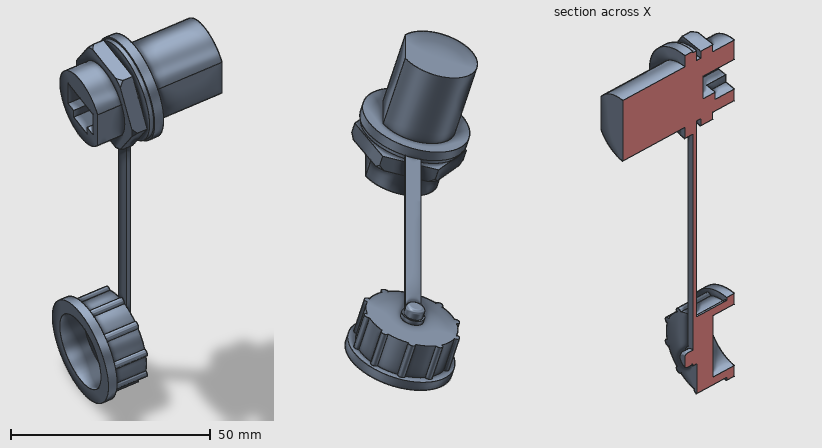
import cadquery as cq


barrel_length = 36.07
barrel_radius = 10.25
barrel_flat_x = 8.6

jack_width = 12.4
jack_bottom_z = -3.8
jack_top_z = 3.6
jack_depth = 10.0
latch_width = 6.7
latch_drop = 2.4
latch_depth = 6.2

nut_front_y = 6.9
nut_thickness = 4.0
nut_across_corners = 29.08
nut_chamfer_radial = 0.7
nut_chamfer_axial = 1.2

cap_spacing = 88.79
cap_rim_radius = 14.0
cap_rim_thickness = 2.5
cap_body_radius = 12.0
cap_length = 12.2
cap_recess_radius = barrel_radius
cap_recess_depth = 6.8
rib_count = 10
rib_radius = 1.0

strap_thickness = 1.2
strap_width = 4.0
strap_ring_radius = 13.5
strap_eye_radius = 3.0
strap_front_y = cap_length
strap_back_y = strap_front_y + strap_thickness

flange_radius = 14.0
flange_thickness = 2.6
flange_back_y = strap_back_y + flange_thickness

button_radius = 2.5
button_edge_fillet = 1.0
button_length = 3.8
button_back_y = strap_front_y + button_length


def disc(radius, front_y, back_y, center_z=0):
    """Cylinder along Y between two Y positions."""
    plane = cq.Workplane("XZ", origin=(0, front_y, center_z))
    return plane.circle(radius).extrude(front_y - back_y)


def box_between(x_range, y_range, z_range):
    """Axis-aligned box given by its limits."""
    size = [high - low for low, high in (x_range, y_range, z_range)]
    corner = (x_range[0], y_range[0], z_range[0])
    return cq.Workplane("XY").box(*size, centered=False).translate(corner)


def make_flat_clearance(front_y, back_y):
    """Segment of the barrel circle lying beyond the flat."""
    beyond_flat = box_between(
        (barrel_flat_x, barrel_radius),
        (front_y, back_y),
        (-barrel_radius, barrel_radius),
    )
    return disc(barrel_radius, front_y, back_y).intersect(beyond_flat)


def make_barrel():
    return disc(barrel_radius, 0, barrel_length).cut(make_flat_clearance(0, barrel_length))


def make_jack_opening():
    opening = box_between(
        (-jack_width / 2, jack_width / 2),
        (0, jack_depth),
        (jack_bottom_z, jack_top_z),
    )
    latch_notch = box_between(
        (-latch_width / 2, latch_width / 2),
        (0, latch_depth),
        (jack_bottom_z - latch_drop, jack_bottom_z),
    )
    return opening.union(latch_notch)


def make_nut():
    corner_radius = nut_across_corners / 2
    nut_back_y = nut_front_y + nut_thickness
    plane = cq.Workplane("XZ", origin=(0, nut_front_y, 0))
    hexagon = plane.polygon(6, nut_across_corners).extrude(-nut_thickness)
    envelope = (
        cq.Workplane("XY")
        .moveTo(0, nut_front_y)
        .lineTo(corner_radius - nut_chamfer_radial, nut_front_y)
        .lineTo(corner_radius, nut_front_y + nut_chamfer_axial)
        .lineTo(corner_radius, nut_back_y)
        .lineTo(0, nut_back_y)
        .close()
        .revolve(360, (0, 0, 0), (0, 1, 0))
    )
    return hexagon.intersect(envelope)


def make_cap():
    cap = disc(cap_rim_radius, 0, cap_rim_thickness, -cap_spacing)
    cap = cap.union(disc(cap_body_radius, 0, cap_length, -cap_spacing))
    ribs = (
        cq.Workplane("XZ", origin=(0, 0, -cap_spacing))
        .polarArray(cap_body_radius, 90, 360, rib_count)
        .circle(rib_radius)
        .extrude(-cap_length)
    )
    recess = disc(cap_recess_radius, 0, cap_recess_depth, -cap_spacing)
    return cap.union(ribs).cut(recess)


def make_strap():
    ring = disc(strap_ring_radius, strap_front_y, strap_back_y)
    eye = disc(strap_eye_radius, strap_front_y, strap_back_y, -cap_spacing)
    band = box_between(
        (-strap_width / 2, strap_width / 2),
        (strap_front_y, strap_back_y),
        (-cap_spacing, 0),
    )
    return ring.union(band).union(eye)


def make_button():
    button = disc(button_radius, strap_front_y, button_back_y, -cap_spacing)
    return button.faces(">Y").edges().fillet(button_edge_fillet)


def make_connector():
    flange = disc(flange_radius, strap_back_y, flange_back_y)
    return make_barrel().union(flange).union(make_nut()).cut(make_jack_opening())


result = make_connector().union(make_strap()).union(make_cap()).union(make_button())
result = result.cut(make_flat_clearance(nut_front_y, strap_back_y))